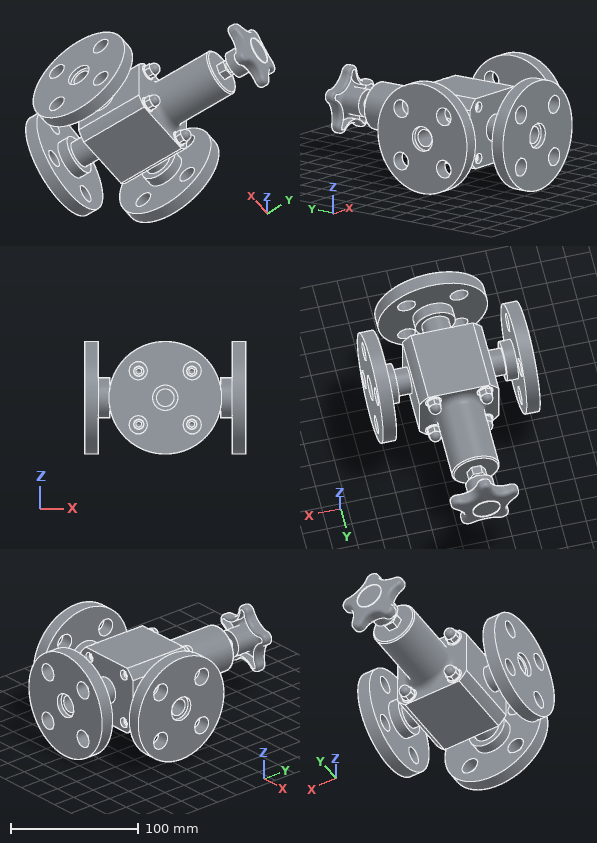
import cadquery as cq
import math


FLANGE_DIA = 88.8
FLANGE_THICKNESS = 11.0
COUNTERBORE_DIA = 19.9
BORE_DIA = 13.8
BOLT_HOLE_DIA = 14.2
BOLT_HOLE_OFFSET = 21.2

SIDE_FACE = 63.5
SIDE_COLLAR_DIA = 31.8
SIDE_PIPE_DIA = 21.5
SIDE_COUNTERBORE_DEPTH = 3.3

FRONT_FACE = 65.5
FRONT_COLLAR_DIA = 32.3
FRONT_PIPE_DIA = 22.0
FRONT_COUNTERBORE_DEPTH = 4.0

COLLAR_LENGTH = 9.0

BODY_WIDTH = 64.0
BODY_HEIGHT = 56.9
BODY_FRONT = -23.0
BODY_BACK = 35.7
BODY_CORNER_DIA = 75.8

SCREW_OFFSET = 20.8
SCREW_RECESS_DIA = 8.0
SCREW_RECESS_DEPTH = 7.0
SCREW_HEAD_DIA = 7.5
SCREW_HEAD_HEIGHT = 3.7
SOCKET_FLATS = 4.3
SOCKET_DEPTH = 0.8
SOCKET_CONE_DEPTH = 2.1
WASHER_DIA = 12.7
WASHER_THICKNESS = 0.5
NUT_FLATS = 9.5
NUT_HEIGHT = 4.9
CAP_DIA = 9.4
CAP_STRAIGHT = 1.2

BONNET_DIA = 38.2
BONNET_TOP = 93.1
BONNET_CHAMFER = 1.2
BONNET_COVE = 6.6
LOCKNUT_CORNERS = 14.8
LOCKNUT_HEIGHT = 6.6
SPINDLE_DIA = 8.0
HUB_DIA = 22.0
HUB_BOTTOM = 104.2

WHEEL_BOTTOM = 117.3
WHEEL_HEIGHT = 12.0
LOBE_COUNT = 5
LOBE_CENTRE_RADIUS = 23.0
LOBE_RADIUS = 5.5
VALLEY_RADIUS = 13.2
CROWN_RADIUS = 107.1
RIM_FILLET = 3.0
RIM_WALL = 3.1
CAVITY_DEPTH = 6.6
HUB_COVE = 4.7

ARC_MIDDLE = 1 - math.sqrt(0.5)
QUADRANTS = [(sx, sz) for sx in (-1, 1) for sz in (-1, 1)]


def corners_across_flats(flats):
    return flats / math.cos(math.pi / 6)


def level(y):
    """Workplane at the given Y, facing +Y, with local x = +Z and local y = +X."""
    return cq.Workplane(cq.Plane(origin=(0, y, 0), xDir=(0, 0, 1), normal=(0, 1, 0)))


def disc(diameter, bottom, top):
    return level(bottom).circle(diameter / 2).extrude(top - bottom)


def port_solid(face, collar_dia, pipe_dia):
    """Flange, collar and pipe along +Z, starting at the origin."""
    hole_places = [(sx * BOLT_HOLE_OFFSET, sy * BOLT_HOLE_OFFSET) for sx, sy in QUADRANTS]
    pipe = cq.Workplane("XY").circle(pipe_dia / 2).extrude(face)
    collar_start = face - FLANGE_THICKNESS - COLLAR_LENGTH
    collar = (
        cq.Workplane("XY").workplane(offset=collar_start)
        .circle(collar_dia / 2).extrude(COLLAR_LENGTH)
    )
    flange = (
        cq.Workplane("XY").workplane(offset=face - FLANGE_THICKNESS)
        .circle(FLANGE_DIA / 2)
        .pushPoints(hole_places).circle(BOLT_HOLE_DIA / 2)
        .extrude(FLANGE_THICKNESS)
    )
    return pipe.union(collar).union(flange)


def port_bore(face, bore_end, counterbore_depth):
    """Blind bore along +Z from the flange face to bore_end, with a counterbore."""
    bore = cq.Workplane("XY").workplane(offset=bore_end).circle(BORE_DIA / 2).extrude(face - bore_end)
    counterbore = (
        cq.Workplane("XY").workplane(offset=face - counterbore_depth)
        .circle(COUNTERBORE_DIA / 2).extrude(counterbore_depth)
    )
    return bore.union(counterbore)


def toward_side(shape, side):
    """Turn a +Z shape to -X (side -1) or +X (side +1)."""
    return shape.rotate((0, 0, 0), (0, 1, 0), side * 90)


def toward_front(shape):
    """Turn a +Z shape to -Y."""
    return shape.rotate((0, 0, 0), (1, 0, 0), 90)


def make_body():
    """Block whose long corner edges are rounded by a cylinder about Y."""
    length = BODY_BACK - BODY_FRONT
    block = level(BODY_FRONT).rect(BODY_HEIGHT, BODY_WIDTH).extrude(length)
    return block.intersect(disc(BODY_CORNER_DIA, BODY_FRONT, BODY_BACK))


def hex_socket(top):
    """Hexagon socket going +Y from the screw head, ending in a cone."""
    corner_dia = corners_across_flats(SOCKET_FLATS)
    cone_start = top + SOCKET_DEPTH
    cone_end = cone_start + SOCKET_CONE_DEPTH
    prism = level(top).polygon(6, corner_dia).extrude(cone_end - top)
    drilled = (
        cq.Workplane("XY")
        .moveTo(0, top)
        .lineTo(corner_dia / 2, top)
        .lineTo(corner_dia / 2, cone_start)
        .lineTo(0, cone_end)
        .close()
        .revolve(360, (0, 0, 0), (0, 1, 0))
    )
    return prism.intersect(drilled)


def screw_recess(x, z):
    """Pocket left around a socket screw head below the front of the body."""
    pocket = disc(SCREW_RECESS_DIA, BODY_FRONT, BODY_FRONT + SCREW_RECESS_DEPTH)
    head_top = BODY_FRONT + SCREW_RECESS_DEPTH - SCREW_HEAD_HEIGHT
    head = disc(SCREW_HEAD_DIA, head_top, BODY_FRONT + SCREW_RECESS_DEPTH)
    return pocket.cut(head.cut(hex_socket(head_top))).translate((x, 0, z))


def cap_nut(x, z):
    """Washer and domed hexagon nut on the back of the body."""
    nut_bottom = BODY_BACK + WASHER_THICKNESS
    nut_top = nut_bottom + NUT_HEIGHT
    dome_centre = nut_top + CAP_STRAIGHT
    washer = disc(WASHER_DIA, BODY_BACK, nut_bottom)
    nut = level(nut_bottom).polygon(6, corners_across_flats(NUT_FLATS)).extrude(NUT_HEIGHT)
    collar = disc(CAP_DIA, nut_top, dome_centre)
    dome = cq.Workplane("XY").sphere(CAP_DIA / 2).translate((0, dome_centre, 0))
    return washer.union(nut).union(collar).union(dome).translate((x, 0, z))


def make_bonnet():
    """Round bonnet that flares into the body through a cove."""
    radius = BONNET_DIA / 2
    foot_radius = radius + BONNET_COVE
    cove_top = BODY_BACK + BONNET_COVE
    cove_middle = BONNET_COVE * ARC_MIDDLE
    return (
        cq.Workplane("XY")
        .moveTo(0, BODY_BACK)
        .lineTo(foot_radius, BODY_BACK)
        .threePointArc((radius + cove_middle, BODY_BACK + cove_middle), (radius, cove_top))
        .lineTo(radius, BONNET_TOP - BONNET_CHAMFER)
        .lineTo(radius - BONNET_CHAMFER, BONNET_TOP)
        .lineTo(0, BONNET_TOP)
        .close()
        .revolve(360, (0, 0, 0), (0, 1, 0))
    )


def make_spindle():
    """Locknut on the bonnet and the thin spindle up to the handwheel hub."""
    locknut = (
        level(BONNET_TOP).polygon(6, LOCKNUT_CORNERS).extrude(LOCKNUT_HEIGHT)
        .rotate((0, 0, 0), (0, 1, 0), 90)
    )
    return locknut.union(disc(SPINDLE_DIA, BONNET_TOP, HUB_BOTTOM))


def polar(radius, angle):
    return (radius * math.cos(angle), radius * math.sin(angle))


def star_outline(y, inset):
    """Star of round lobes joined by tangent hollow arcs, moved inward by inset."""
    half_pitch = math.pi / LOBE_COUNT
    lobe_radius = LOBE_RADIUS - inset
    valley_radius = VALLEY_RADIUS + inset
    reach = LOBE_RADIUS + VALLEY_RADIUS
    lobe_to_mid = LOBE_CENTRE_RADIUS * math.sin(half_pitch)
    valley_centre_radius = (
        LOBE_CENTRE_RADIUS * math.cos(half_pitch) + math.sqrt(reach**2 - lobe_to_mid**2)
    )
    lobe_share = lobe_radius / reach

    def touch_point(lobe_angle, valley_angle):
        lobe = polar(LOBE_CENTRE_RADIUS, lobe_angle)
        valley = polar(valley_centre_radius, valley_angle)
        return tuple(a + lobe_share * (b - a) for a, b in zip(lobe, valley))

    outline = level(y).moveTo(*touch_point(0, -half_pitch))
    for i in range(LOBE_COUNT):
        lobe = 2 * i * half_pitch
        valley = lobe + half_pitch
        outline = (
            outline
            .threePointArc(polar(LOBE_CENTRE_RADIUS + lobe_radius, lobe), touch_point(lobe, valley))
            .threePointArc(
                polar(valley_centre_radius - valley_radius, valley),
                touch_point(lobe + 2 * half_pitch, valley),
            )
        )
    return outline.close()


def hub_cove():
    """Flared ring that blends the hub into the floor of the wheel cavity."""
    radius = HUB_DIA / 2
    floor = WHEEL_BOTTOM + CAVITY_DEPTH
    cove_middle = HUB_COVE * ARC_MIDDLE
    return (
        cq.Workplane("XY")
        .moveTo(0, floor)
        .lineTo(radius + HUB_COVE, floor)
        .threePointArc((radius + cove_middle, floor - cove_middle), (radius, floor - HUB_COVE))
        .lineTo(0, floor - HUB_COVE)
        .close()
        .revolve(360, (0, 0, 0), (0, 1, 0))
    )


def make_handwheel():
    """Crowned five-lobed star, hollow underneath, on a round hub."""
    wheel_top = WHEEL_BOTTOM + WHEEL_HEIGHT
    crown = cq.Workplane("XY").sphere(CROWN_RADIUS).translate((0, wheel_top - CROWN_RADIUS, 0))
    star = star_outline(WHEEL_BOTTOM, 0).extrude(WHEEL_HEIGHT).intersect(crown)
    star = star.faces("<Y").edges().fillet(RIM_FILLET)
    star = star.faces(">Y").edges().fillet(RIM_FILLET)
    cavity = star_outline(WHEEL_BOTTOM, RIM_WALL).extrude(CAVITY_DEPTH)
    hub = disc(HUB_DIA, HUB_BOTTOM, wheel_top)
    return star.cut(cavity).union(hub_cove()).union(hub)


side_port = port_solid(SIDE_FACE, SIDE_COLLAR_DIA, SIDE_PIPE_DIA)
side_bore = port_bore(SIDE_FACE, BODY_WIDTH / 2, SIDE_COUNTERBORE_DEPTH)
front_port = port_solid(FRONT_FACE, FRONT_COLLAR_DIA, FRONT_PIPE_DIA)
front_bore = port_bore(FRONT_FACE, -BODY_FRONT, FRONT_COUNTERBORE_DEPTH)

result = make_body().union(toward_front(front_port))
for side in (-1, 1):
    result = result.union(toward_side(side_port, side)).cut(toward_side(side_bore, side))
result = result.cut(toward_front(front_bore))

result = result.union(make_bonnet())
for side_x, side_z in QUADRANTS:
    result = result.cut(screw_recess(side_x * SCREW_OFFSET, side_z * SCREW_OFFSET))
    result = result.union(cap_nut(side_x * SCREW_OFFSET, side_z * SCREW_OFFSET))

result = result.union(make_spindle()).union(make_handwheel())